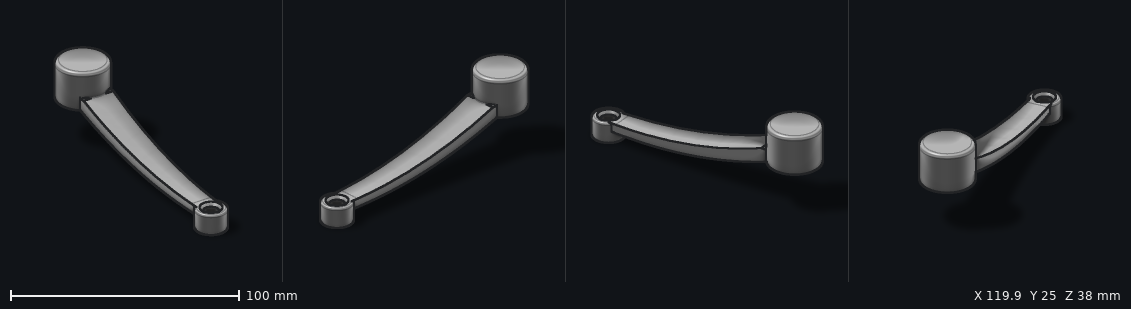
import cadquery as cq
import math

overall_length = 119.9
overall_height = 38.0

grip_diameter = 25.0
grip_height = 19.1
grip_top_radius = 1.8
grip_bottom_radius = 1.0

boss_diameter = 15.0
boss_height = 10.1
boss_top_radius = 1.1
boss_bottom_chamfer = 0.4
hole_diameter = 6.8
countersink_diameter = 10.1
boss_x = overall_length - grip_diameter / 2 - boss_diameter / 2

arm_end_thickness = 4.5
arm_top_radius = 217.0
arm_bottom_radius = 225.4
grip_blend_radius = 0.4
arm_bottom_flat = 13.1
arm_top_ledge_x = 12.2
arm_root_x = 6.0
arm_root_width = 16.2
arm_tip_width = 10.2
arm_edge_radius = 0.6

arm_top_tangent_x = boss_x - boss_diameter / 2
arm_bottom_tangent_x = boss_x - arm_bottom_flat
arm_bottom_z = boss_height - arm_end_thickness


def arc_height(x, tangent_x, level, radius):
    """Height at x of an upward arc that leaves a level line at tangent_x."""
    return level + radius - math.sqrt(radius**2 - (tangent_x - x) ** 2)


def arc_points(start_x, tangent_x, level, radius):
    """Start, middle and tangent points of one of the arm's long arcs."""
    stations = (start_x, (start_x + tangent_x) / 2, tangent_x)
    return [(x, arc_height(x, tangent_x, level, radius)) for x in stations]


def make_grip():
    grip = cq.Workplane("XY").workplane(offset=overall_height - grip_height)
    grip = grip.circle(grip_diameter / 2).extrude(grip_height)
    grip = grip.faces(">Z").edges().fillet(grip_top_radius)
    return grip.faces("<Z").edges().fillet(grip_bottom_radius)


def make_boss():
    boss = cq.Workplane("XY").center(boss_x, 0).circle(boss_diameter / 2).extrude(boss_height)
    boss = boss.faces(">Z").edges().fillet(boss_top_radius)
    return boss.faces("<Z").edges().chamfer(boss_bottom_chamfer)


def make_arm():
    top = arc_points(arm_top_ledge_x, arm_top_tangent_x, boss_height, arm_top_radius)
    bottom = arc_points(arm_root_x, arm_bottom_tangent_x, arm_bottom_z, arm_bottom_radius)
    side = (
        cq.Workplane("XZ")
        .moveTo(arm_root_x, top[0][1])
        .lineTo(*top[0])
        .threePointArc(top[1], top[2])
        .lineTo(boss_x, boss_height)
        .lineTo(boss_x, arm_bottom_z)
        .lineTo(*bottom[2])
        .threePointArc(bottom[1], bottom[0])
        .close()
        .extrude(grip_diameter / 2, both=True)
    )
    plan = (
        cq.Workplane("XY")
        .moveTo(arm_root_x, -arm_root_width / 2)
        .lineTo(boss_x, -arm_tip_width / 2)
        .lineTo(boss_x, arm_tip_width / 2)
        .lineTo(arm_root_x, arm_root_width / 2)
        .close()
        .extrude(overall_height)
    )
    arm = side.intersect(plan)
    lower_edges = arm.faces("<Z").edges("not #X").edges("not |Y")
    return lower_edges.fillet(arm_edge_radius)


def make_hole_cutter():
    """Through hole with a 90 degree countersink at the top of the boss."""
    hole_radius = hole_diameter / 2
    sink_radius = countersink_diameter / 2
    sink_depth = sink_radius - hole_radius
    return (
        cq.Workplane("XZ")
        .lineTo(hole_radius, 0)
        .lineTo(hole_radius, boss_height - sink_depth)
        .lineTo(sink_radius, boss_height)
        .lineTo(0, boss_height)
        .close()
        .revolve(360, (0, 0), (0, 1))
        .translate((boss_x, 0, 0))
    )


def blend_arm_into_grip(body):
    """Small fillet where the top of the arm meets the grip wall."""
    ledge_z = arc_height(arm_top_ledge_x, arm_top_tangent_x, boss_height, arm_top_radius)
    grip_radius = grip_diameter / 2
    seam_zone = cq.selectors.BoxSelector(
        (arm_root_x, -grip_radius, ledge_z - grip_blend_radius),
        (grip_radius + grip_blend_radius, grip_radius, ledge_z + grip_blend_radius),
    )
    seam = body.edges(seam_zone).edges("not %LINE")
    return seam.fillet(grip_blend_radius)


body = make_grip().union(make_arm()).union(make_boss())
result = blend_arm_into_grip(body).cut(make_hole_cutter())